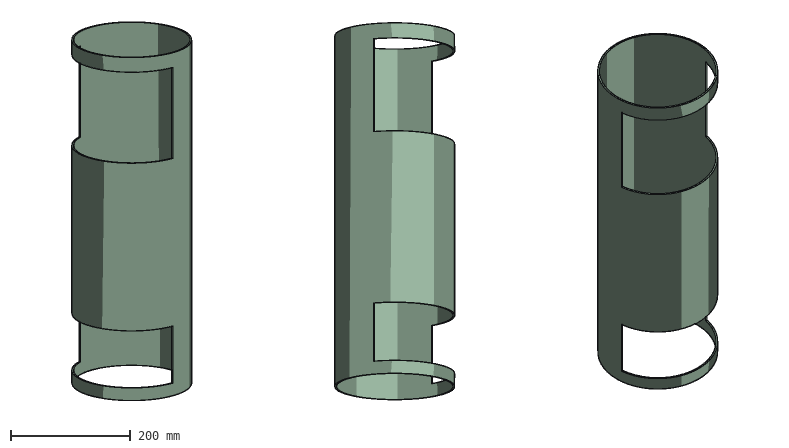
import cadquery as cq

height = 600.0
outer_diameter = 200.5
inner_diameter = 194.5

window_back_y = -15.5
lower_window_bottom = 22.0
lower_window_top = 122.0
upper_window_bottom = 415.0
upper_window_top = 574.0


def window_cutter(bottom, top):
    """Block that opens the front (-Y) wall between two heights."""
    depth = outer_diameter
    return (
        cq.Workplane("XY")
        .box(2 * outer_diameter, depth, top - bottom, centered=(True, False, False))
        .translate((0, window_back_y - depth, bottom))
    )


tube = (
    cq.Workplane("XY")
    .circle(outer_diameter / 2)
    .circle(inner_diameter / 2)
    .extrude(height)
)

result = (
    tube
    .cut(window_cutter(lower_window_bottom, lower_window_top))
    .cut(window_cutter(upper_window_bottom, upper_window_top))
)